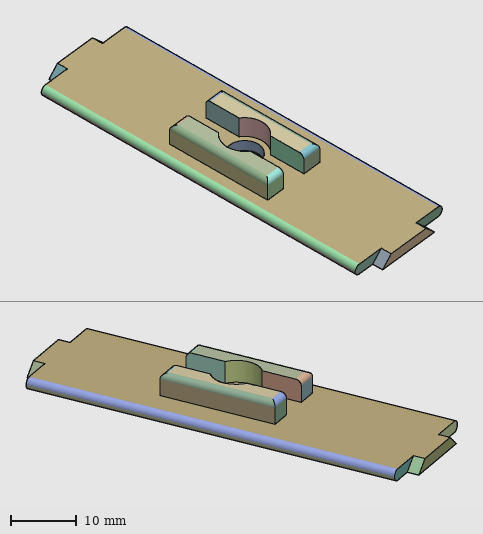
import cadquery as cq

plate_length = 64.0
plate_width = 20.0
plate_thickness = 2.0
plate_edge_radius = 0.95

overall_length = 68.0
tab_bottom_width = 12.0
tab_top_width = tab_bottom_width - 2 * plate_thickness

overall_height = 5.7
rail_center = (1.5, -1.0)
rail_length = 20.0
rail_pair_width = 12.0
rail_gap = 4.7
rail_edge_radius = 0.95
rail_height = overall_height - plate_thickness

hole_diameter = 6.0
bore_diameter = 7.95


def make_plate():
    """Flat plate whose two long sides are rounded at top and bottom."""
    plate = cq.Workplane("XY").box(
        plate_length, plate_width, plate_thickness, centered=(True, True, False)
    )
    return plate.faces("<Y or >Y").edges("|X").fillet(plate_edge_radius)


def make_tabs():
    """Dovetail bar running the full length, so that its ends form the tabs."""
    half_bottom = tab_bottom_width / 2
    half_top = tab_top_width / 2
    return (
        cq.Workplane("YZ", origin=(-overall_length / 2, 0, 0))
        .moveTo(-half_bottom, 0)
        .lineTo(half_bottom, 0)
        .lineTo(half_top, plate_thickness)
        .lineTo(-half_top, plate_thickness)
        .close()
        .extrude(overall_length)
    )


def make_rails():
    """Round-edged block split into two rails by a channel and a central bore."""
    top_of_plate = cq.Workplane("XY", origin=(*rail_center, plate_thickness))
    block = top_of_plate.rect(rail_length, rail_pair_width).extrude(rail_height)
    block = block.faces(">Z").edges().fillet(rail_edge_radius)
    channel = top_of_plate.rect(rail_length, rail_gap).extrude(rail_height)
    bore = top_of_plate.circle(bore_diameter / 2).extrude(rail_height)
    return block.cut(channel).cut(bore)


def make_hole():
    """Cylinder that opens the plate between the rails."""
    return (
        cq.Workplane("XY", origin=(*rail_center, 0))
        .circle(hole_diameter / 2)
        .extrude(plate_thickness)
    )


result = make_plate().union(make_tabs()).union(make_rails()).cut(make_hole())